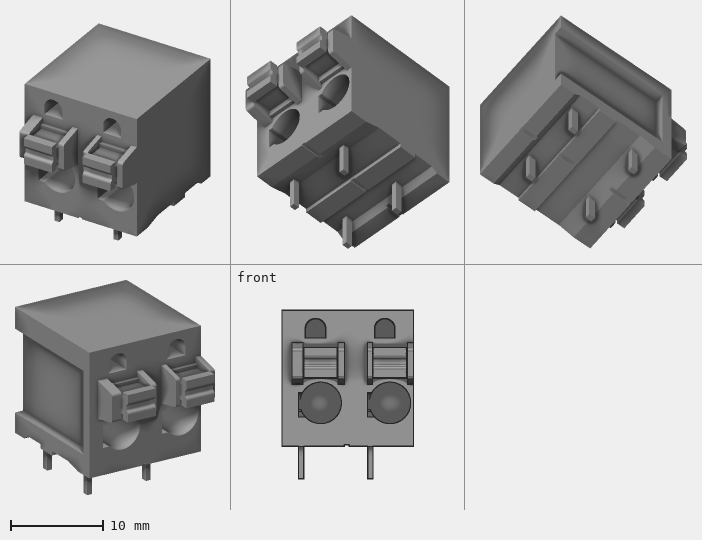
import cadquery as cq
import math


OVERALL_DEPTH = 19.24

WIDTH = 14.3
DEPTH = 15.18
HEIGHT = 14.78

POLE_COUNT = 2
POLE_PITCH = 7.5
POLE_OFFSETS = [index * POLE_PITCH for index in range(POLE_COUNT)]

RECESS_DEPTH = 1.08
RECESS_FRONT = 1.2
RECESS_BOTTOM = 2.37
RECESS_TOP = 12.24

RELIEF_HEIGHT = 0.52
FRONT_RELIEF_START = 2.29
FRONT_RELIEF_SLOPE_END = 4.31
RIB_FRONT = 7.62
RIB_BACK = 9.89
BACK_RELIEF_SLOPE_START = 12.49
BACK_RELIEF_END = 13.28

GROOVE_LEFT = 6.8
GROOVE_WIDTH = 0.5
GROOVE_HEIGHT = 0.15

WINDOW_CENTER_X = 3.65
WINDOW_BOTTOM = 11.75
WINDOW_SPRING = 12.74
WINDOW_RADIUS = 1.14
WINDOW_BACK_RADIUS = 1.08
WINDOW_DEPTH = 5.77

ENTRY_X = 4.21
ENTRY_Z = 4.71
ENTRY_RADIUS = 2.25
ENTRY_DEPTH = 7.7
NOTCH_TOP = 5.85
NOTCH_BOTTOM = 3.2
NOTCH_TOP_RADIUS = 0.7
NOTCH_STEP_RADIUS = 0.58
NOTCH_RAMP_RISE = 0.23
NOTCH_RAMP_LENGTH = 0.38

GUARD_LENGTH = 2.9
GUARD_ROOT_BOTTOM = 6.71
GUARD_ROOT_TOP = 11.25
GUARD_TIP_BOTTOM = 7.31
GUARD_TIP_TOP = 10.62
GUARD_TIP_RADIUS = 0.35
GUARD_INNER_LEFT = 2.3
GUARD_INNER_RIGHT = 6.1
RIGHT_GUARD_WIDTH = WIDTH - POLE_OFFSETS[-1] - GUARD_INNER_RIGHT
FIRST_LEFT_GUARD_WIDTH = 1.2
NEXT_LEFT_GUARD_WIDTH = 0.54

LEDGE_LENGTH = 0.45
LEDGE_BOTTOM = 7.33
LEDGE_TOP = 10.55

BUTTON_LEFT = 2.4
BUTTON_WIDTH = 3.58
BUTTON_TIP = OVERALL_DEPTH - DEPTH
BUTTON_CENTER_Z = 9.08
HEAD_LENGTH = 1.0
HEAD_HEIGHT = 3.23
STEM_HEIGHT = 2.02

FLOOR_HALF = 0.2
FLANK_INNER_RADIUS = 0.23
FLANK_OUTER_RADIUS = 0.35
FLANK_ANGLE = math.radians(64)

PIN_LEFT = 1.79
PIN_WIDTH = 0.6
PIN_BOTTOM = -3.52
PIN_TOP = 1.92
FRONT_PIN = (3.27, 0.77)
BACK_PIN = (11.43, 0.85)


def box(x, y, z, dx, dy, dz):
    """Box given by its lowest corner and its sizes."""
    return cq.Workplane("XY").box(dx, dy, dz, centered=False).translate((x, y, z))


def side_profile(x):
    """Workplane at the given X; its local axes are Y and Z."""
    return cq.Workplane("YZ", origin=(x, 0, 0))


def front_profile(y=0.0):
    """Workplane at the given Y; its local axes are X and Z, its normal points to -Y."""
    return cq.Workplane("XZ", origin=(0, y, 0))


def make_side_recess():
    return box(0, RECESS_FRONT, RECESS_BOTTOM,
               RECESS_DEPTH, DEPTH - RECESS_FRONT, RECESS_TOP - RECESS_BOTTOM)


def make_underside_reliefs():
    front = (
        side_profile(0)
        .moveTo(FRONT_RELIEF_START, 0)
        .lineTo(FRONT_RELIEF_SLOPE_END, RELIEF_HEIGHT)
        .lineTo(RIB_FRONT, RELIEF_HEIGHT)
        .lineTo(RIB_FRONT, 0)
        .close()
        .extrude(WIDTH)
    )
    back = (
        side_profile(0)
        .moveTo(RIB_BACK, 0)
        .lineTo(RIB_BACK, RELIEF_HEIGHT)
        .lineTo(BACK_RELIEF_SLOPE_START, RELIEF_HEIGHT)
        .lineTo(BACK_RELIEF_END, 0)
        .close()
        .extrude(WIDTH)
    )
    return front.union(back)


def make_underside_groove():
    return box(GROOVE_LEFT, 0, 0, GROOVE_WIDTH, DEPTH, GROOVE_HEIGHT)


def window_outline(y, radius):
    """Arched outline: straight sides up to the spring line, then a half circle."""
    return (
        front_profile(y)
        .moveTo(WINDOW_CENTER_X - radius, WINDOW_BOTTOM)
        .lineTo(WINDOW_CENTER_X + radius, WINDOW_BOTTOM)
        .lineTo(WINDOW_CENTER_X + radius, WINDOW_SPRING)
        .threePointArc((WINDOW_CENTER_X, WINDOW_SPRING + radius), (WINDOW_CENTER_X - radius, WINDOW_SPRING))
        .close()
        .val()
    )


def make_window():
    outlines = [
        window_outline(0, WINDOW_RADIUS),
        window_outline(WINDOW_DEPTH, WINDOW_BACK_RADIUS),
    ]
    return cq.Workplane(cq.Solid.makeLoft(outlines, True))


def make_wire_entry():
    hole = front_profile().center(ENTRY_X, ENTRY_Z).circle(ENTRY_RADIUS).extrude(-ENTRY_DEPTH)
    ramp_start = ENTRY_DEPTH - NOTCH_RAMP_LENGTH
    step_top = NOTCH_BOTTOM + NOTCH_STEP_RADIUS
    arc_offset = NOTCH_STEP_RADIUS * math.sqrt(0.5)
    notch = (
        side_profile(PIN_LEFT)
        .moveTo(0, NOTCH_BOTTOM)
        .lineTo(ramp_start - NOTCH_STEP_RADIUS, NOTCH_BOTTOM)
        .threePointArc((ramp_start - arc_offset, NOTCH_BOTTOM + arc_offset), (ramp_start, step_top))
        .lineTo(ENTRY_DEPTH, step_top + NOTCH_RAMP_RISE)
        .lineTo(ENTRY_DEPTH, NOTCH_TOP - NOTCH_TOP_RADIUS)
        .radiusArc((ENTRY_DEPTH - NOTCH_TOP_RADIUS, NOTCH_TOP), -NOTCH_TOP_RADIUS)
        .lineTo(0, NOTCH_TOP)
        .close()
        .extrude(ENTRY_X - PIN_LEFT)
    )
    return hole.union(notch)


def make_guard(left, width):
    """Tapered cheek in front of the housing with rounded upper and lower tip edges."""
    return (
        side_profile(left)
        .moveTo(0, GUARD_ROOT_BOTTOM)
        .lineTo(-GUARD_LENGTH, GUARD_TIP_BOTTOM)
        .lineTo(-GUARD_LENGTH, GUARD_TIP_TOP)
        .lineTo(0, GUARD_ROOT_TOP)
        .close()
        .extrude(width)
        .faces("<Y")
        .edges("|X")
        .fillet(GUARD_TIP_RADIUS)
    )


def make_ledge():
    return box(GUARD_INNER_LEFT, -LEDGE_LENGTH, LEDGE_BOTTOM,
               GUARD_INNER_RIGHT - GUARD_INNER_LEFT, LEDGE_LENGTH, LEDGE_TOP - LEDGE_BOTTOM)


def make_stem():
    """Button stem from the housing face to the back of the button head."""
    stem_length = BUTTON_TIP - HEAD_LENGTH
    return box(BUTTON_LEFT, -stem_length, BUTTON_CENTER_Z - STEM_HEIGHT / 2,
               BUTTON_WIDTH, stem_length, STEM_HEIGHT)


def make_finger_groove():
    """Groove cutter, centred on the middle of the button face."""
    def flank_point(angle, inner):
        """Depth and half height on a flank at the given slope angle from the face."""
        radius = FLANK_INNER_RADIUS if inner else FLANK_OUTER_RADIUS
        rise = radius * math.sin(angle)
        drop = radius * (1 - math.cos(angle))
        return (groove_depth - drop, FLOOR_HALF + rise) if inner else (drop, mouth_half - rise)

    both_radii = FLANK_INNER_RADIUS + FLANK_OUTER_RADIUS
    groove_depth = both_radii * (1 - math.cos(FLANK_ANGLE))
    mouth_half = FLOOR_HALF + both_radii * math.sin(FLANK_ANGLE)
    mid_inner = flank_point(FLANK_ANGLE / 2, True)
    mid_outer = flank_point(FLANK_ANGLE / 2, False)
    junction = flank_point(FLANK_ANGLE, True)

    def mirrored(point):
        return (point[0], -point[1])

    return (
        side_profile(BUTTON_LEFT)
        .center(-BUTTON_TIP, BUTTON_CENTER_Z)
        .moveTo(0, mouth_half)
        .threePointArc(mid_outer, junction)
        .threePointArc(mid_inner, (groove_depth, FLOOR_HALF))
        .lineTo(groove_depth, -FLOOR_HALF)
        .threePointArc(mirrored(mid_inner), mirrored(junction))
        .threePointArc(mirrored(mid_outer), (0, -mouth_half))
        .close()
        .extrude(BUTTON_WIDTH)
    )


def make_button():
    head = box(BUTTON_LEFT, -BUTTON_TIP, BUTTON_CENTER_Z - HEAD_HEIGHT / 2,
               BUTTON_WIDTH, HEAD_LENGTH, HEAD_HEIGHT)
    return make_stem().union(head).cut(make_finger_groove())


def make_pin(start, length):
    """Solder pin, also used to cut its own socket in the housing."""
    return box(PIN_LEFT, start, PIN_BOTTOM, PIN_WIDTH, length, PIN_TOP - PIN_BOTTOM)


def make_housing():
    housing = box(0, 0, 0, WIDTH, DEPTH, HEIGHT)
    housing = housing.cut(make_side_recess())
    housing = housing.cut(make_underside_reliefs())
    housing = housing.cut(make_underside_groove())
    for offset in POLE_OFFSETS:
        left_width = FIRST_LEFT_GUARD_WIDTH if offset == 0 else NEXT_LEFT_GUARD_WIDTH
        additions = [
            make_guard(GUARD_INNER_LEFT - left_width, left_width),
            make_guard(GUARD_INNER_RIGHT, RIGHT_GUARD_WIDTH),
            make_ledge(),
        ]
        openings = [
            make_window(),
            make_wire_entry(),
            make_stem(),
            make_pin(*FRONT_PIN),
            make_pin(*BACK_PIN),
        ]
        for addition in additions:
            housing = housing.union(addition.translate((offset, 0, 0)))
        for opening in openings:
            housing = housing.cut(opening.translate((offset, 0, 0)))
    return housing


housing = make_housing()
buttons = [make_button().translate((offset, 0, 0)) for offset in POLE_OFFSETS]
pins = [
    make_pin(*placement).translate((offset, 0, 0))
    for offset in POLE_OFFSETS
    for placement in (FRONT_PIN, BACK_PIN)
]

result = cq.Compound.makeCompound([
    housing.val(),
    *[button.val() for button in buttons],
    *[pin.val() for pin in pins],
])